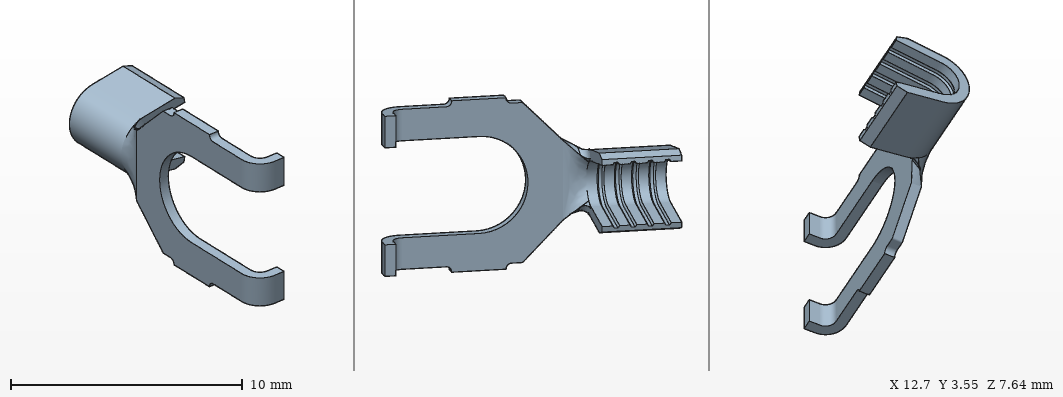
import cadquery as cq
import math


OVERALL_LENGTH = 12.7
SHEET = 0.5

BARREL_LENGTH = 3.53
BARREL_RADIUS = 1.52
BARREL_BORE_RADIUS = BARREL_RADIUS - SHEET
BARREL_DEPTH = 3.55
BARREL_HALF_HEIGHT = 1.78
FLARE_ANGLE = math.radians(9.0)
ARM_START_ANGLE = math.pi / 2 - FLARE_ANGLE
TIP_FLAT = 0.25

GROOVE_COUNT = 4
GROOVE_PITCH = 0.76
GROOVE_TOP_WIDTH = 0.3
GROOVE_FLOOR_WIDTH = 0.15
GROOVE_DEPTH = 0.1
GROOVE_OVERRUN = 0.05

NECK_LENGTH = 1.03
NECK_HALF_ANGLE = math.radians(56.0)
NECK_FILLET = 0.45
NECK_OVERLAP = 0.06
NECK_FILLET_INSET = 0.05

PLATE_START = BARREL_LENGTH + NECK_LENGTH
PLATE_START_HALF_HEIGHT = 1.77
PRONG_OUTER = 3.57
PLATE_HALF_HEIGHT = 3.82
SHOULDER_ROUND = 0.13
TAB_START = 7.09
TAB_END = 9.5
TAB_FILLET = 0.24
SLOT_HALF_HEIGHT = 2.16
SLOT_BOTTOM = 6.12
SLOT_CENTER = SLOT_BOTTOM + SLOT_HALF_HEIGHT

HOOK_DEPTH = 1.54
HOOK_OUTER_RADIUS = 1.02
HOOK_INNER_RADIUS = HOOK_OUTER_RADIUS - SHEET


def arc_point(radius, angle):
    """(Y, Z) on a barrel circle; the angle is taken from the barrel's bottom line."""
    return BARREL_RADIUS - radius * math.cos(angle), radius * math.sin(angle)


def flare_point(radius, depth):
    """(Y, Z) at a given depth on the straight flared arm tangent to a barrel circle."""
    start_y, start_z = arc_point(radius, ARM_START_ANGLE)
    return depth, start_z + (depth - start_y) * math.tan(FLARE_ANGLE)


def mirrored(point):
    """The same (Y, Z) point on the other side of Z = 0."""
    return point[0], -point[1]


TIP_INNER = flare_point(BARREL_BORE_RADIUS, BARREL_DEPTH)
TIP_OUTER = (
    TIP_INNER[0] - TIP_FLAT * math.sin(FLARE_ANGLE),
    TIP_INNER[1] + TIP_FLAT * math.cos(FLARE_ANGLE),
)
ARM_TOP_DEPTH = BARREL_RADIUS + (
    BARREL_HALF_HEIGHT * math.cos(FLARE_ANGLE) - BARREL_RADIUS
) / math.sin(FLARE_ANGLE)


def make_barrel():
    """U-shaped channel with flared arms and bevelled tips."""
    arm_top = flare_point(BARREL_RADIUS, ARM_TOP_DEPTH)
    outer_start = arc_point(BARREL_RADIUS, ARM_START_ANGLE)
    inner_start = arc_point(BARREL_BORE_RADIUS, ARM_START_ANGLE)
    return (
        cq.Workplane("YZ")
        .moveTo(*TIP_INNER)
        .lineTo(*TIP_OUTER)
        .lineTo(*arm_top)
        .lineTo(*outer_start)
        .threePointArc((0, 0), mirrored(outer_start))
        .lineTo(*mirrored(arm_top))
        .lineTo(*mirrored(TIP_OUTER))
        .lineTo(*mirrored(TIP_INNER))
        .lineTo(*mirrored(inner_start))
        .threePointArc((SHEET, 0), inner_start)
        .close()
        .extrude(BARREL_LENGTH)
    )


def make_groove(center_x):
    """Trapezoidal groove cutter that follows the inside of the U from tip to tip."""
    path_start = flare_point(BARREL_BORE_RADIUS, BARREL_DEPTH + GROOVE_OVERRUN)
    arm_start = arc_point(BARREL_BORE_RADIUS, ARM_START_ANGLE)
    path = (
        cq.Workplane("YZ", origin=(center_x, 0, 0))
        .moveTo(*path_start)
        .lineTo(*arm_start)
        .threePointArc((SHEET, 0), mirrored(arm_start))
        .lineTo(*mirrored(path_start))
    )
    section_plane = cq.Plane(
        origin=(center_x, *path_start),
        xDir=(1, 0, 0),
        normal=(0, -math.cos(FLARE_ANGLE), -math.sin(FLARE_ANGLE)),
    )
    half_top = GROOVE_TOP_WIDTH / 2
    half_floor = GROOVE_FLOOR_WIDTH / 2
    return (
        cq.Workplane(section_plane)
        .polyline([
            (-half_top, -GROOVE_OVERRUN),
            (half_top, -GROOVE_OVERRUN),
            (half_top, 0),
            (half_floor, GROOVE_DEPTH),
            (-half_floor, GROOVE_DEPTH),
            (-half_top, 0),
        ])
        .close()
        .sweep(path)
    )


def make_neck():
    """Ruled transition from the barrel's round bottom to the flat start of the plate."""
    outer_end = arc_point(BARREL_RADIUS, NECK_HALF_ANGLE)
    inner_end = arc_point(BARREL_BORE_RADIUS, NECK_HALF_ANGLE)
    half = PLATE_START_HALF_HEIGHT
    return (
        cq.Workplane("YZ", origin=(BARREL_LENGTH, 0, 0))
        .moveTo(*mirrored(outer_end))
        .threePointArc((0, 0), outer_end)
        .lineTo(*inner_end)
        .threePointArc((SHEET, 0), mirrored(inner_end))
        .close()
        .workplane(offset=NECK_LENGTH)
        .moveTo(0, -half)
        .lineTo(0, half)
        .lineTo(SHEET, half)
        .lineTo(SHEET, -half)
        .close()
        .loft(ruled=True)
    )


def neck_edge_point(along, across):
    """Point on the neck's upper edge face: along 0..1 in X, across 0 (outside) .. 1 (inside)."""
    start_outer = cq.Vector(BARREL_LENGTH, *arc_point(BARREL_RADIUS, NECK_HALF_ANGLE))
    start_inner = cq.Vector(BARREL_LENGTH, *arc_point(BARREL_BORE_RADIUS, NECK_HALF_ANGLE))
    end_outer = cq.Vector(PLATE_START, 0, PLATE_START_HALF_HEIGHT)
    end_inner = cq.Vector(PLATE_START, SHEET, PLATE_START_HALF_HEIGHT)
    start = start_outer + (start_inner - start_outer) * across
    end = end_outer + (end_inner - end_outer) * across
    return start + (end - start) * along


def make_neck_fillet():
    """Concave corner fill between the barrel's end face and the neck's upper edge."""
    up = cq.Vector(0, math.sin(NECK_HALF_ANGLE), math.cos(NECK_HALF_ANGLE))
    sections = []
    for across in (NECK_FILLET_INSET, 1 - NECK_FILLET_INSET):
        corner = neck_edge_point(0, across)
        top = corner + up * NECK_FILLET
        end = neck_edge_point(NECK_FILLET / NECK_LENGTH, across)
        arc_mid = corner + (top - corner + end - corner) * (1 - math.sqrt(0.5))
        buried_corner = corner - up * NECK_OVERLAP
        buried_end = end - up * NECK_OVERLAP
        sections.append(
            cq.Wire.assembleEdges([
                cq.Edge.makeLine(buried_corner, top),
                cq.Edge.makeThreePointArc(top, arc_mid, end),
                cq.Edge.makeLine(end, buried_end),
                cq.Edge.makeLine(buried_end, buried_corner),
            ])
        )
    return cq.Workplane(cq.Solid.makeLoft(sections, True))


def make_bent_sheet():
    """Bent side profile of the plate: flat, then hooked up towards +Y at the far end."""
    bend_x = OVERALL_LENGTH - HOOK_OUTER_RADIUS
    bend_cos = math.sqrt(0.5)
    outer_mid = (
        bend_x + HOOK_OUTER_RADIUS * bend_cos,
        HOOK_OUTER_RADIUS * (1 - bend_cos),
    )
    inner_mid = (
        bend_x + HOOK_INNER_RADIUS * bend_cos,
        HOOK_OUTER_RADIUS - HOOK_INNER_RADIUS * bend_cos,
    )
    return (
        cq.Workplane("XY")
        .moveTo(PLATE_START, 0)
        .lineTo(bend_x, 0)
        .threePointArc(outer_mid, (OVERALL_LENGTH, HOOK_OUTER_RADIUS))
        .lineTo(OVERALL_LENGTH, HOOK_DEPTH)
        .lineTo(OVERALL_LENGTH - SHEET, HOOK_DEPTH)
        .lineTo(OVERALL_LENGTH - SHEET, HOOK_OUTER_RADIUS)
        .threePointArc(inner_mid, (bend_x, SHEET))
        .lineTo(PLATE_START, SHEET)
        .close()
        .extrude(PLATE_HALF_HEIGHT, both=True)
    )


def make_plate():
    """Forked plate with side tabs; the prongs run straight to the overall length."""
    shoulder_x = PLATE_START + PRONG_OUTER - PLATE_START_HALF_HEIGHT
    half_outline = [
        (PLATE_START, 0),
        (PLATE_START, PLATE_START_HALF_HEIGHT),
        (shoulder_x, PRONG_OUTER),
        (OVERALL_LENGTH, PRONG_OUTER),
        (OVERALL_LENGTH, 0),
    ]
    sheet = cq.Workplane("XZ").polyline(half_outline).close().extrude(-HOOK_DEPTH)
    sheet = sheet.edges(
        cq.selectors.NearestToPointSelector((shoulder_x, HOOK_DEPTH / 2, PRONG_OUTER))
    ).fillet(SHOULDER_ROUND)

    fillet_top = PRONG_OUTER + TAB_FILLET
    fillet_mid = TAB_FILLET * (1 - math.sqrt(0.5))
    tab = (
        cq.Workplane("XZ")
        .moveTo(TAB_START - TAB_FILLET, PRONG_OUTER)
        .threePointArc((TAB_START - fillet_mid, PRONG_OUTER + fillet_mid), (TAB_START, fillet_top))
        .lineTo(TAB_START, PLATE_HALF_HEIGHT)
        .lineTo(TAB_END, PLATE_HALF_HEIGHT)
        .lineTo(TAB_END, fillet_top)
        .threePointArc((TAB_END + fillet_mid, PRONG_OUTER + fillet_mid), (TAB_END + TAB_FILLET, PRONG_OUTER))
        .close()
        .extrude(-HOOK_DEPTH)
    )
    half_plate = sheet.union(tab)
    outline = half_plate.union(half_plate.mirror("XY"))

    slot = (
        cq.Workplane("XZ")
        .moveTo(SLOT_CENTER, SLOT_HALF_HEIGHT)
        .threePointArc((SLOT_BOTTOM, 0), (SLOT_CENTER, -SLOT_HALF_HEIGHT))
        .lineTo(OVERALL_LENGTH, -SLOT_HALF_HEIGHT)
        .lineTo(OVERALL_LENGTH, SLOT_HALF_HEIGHT)
        .close()
        .extrude(-HOOK_DEPTH)
    )
    return outline.cut(slot).intersect(make_bent_sheet())


neck_fillet = make_neck_fillet()
result = make_barrel().union(make_neck()).union(make_plate())
result = result.union(neck_fillet).union(neck_fillet.mirror("XY"))
first_groove = BARREL_LENGTH / 2 - GROOVE_PITCH * (GROOVE_COUNT - 1) / 2
for index in range(GROOVE_COUNT):
    result = result.cut(make_groove(first_groove + index * GROOVE_PITCH))